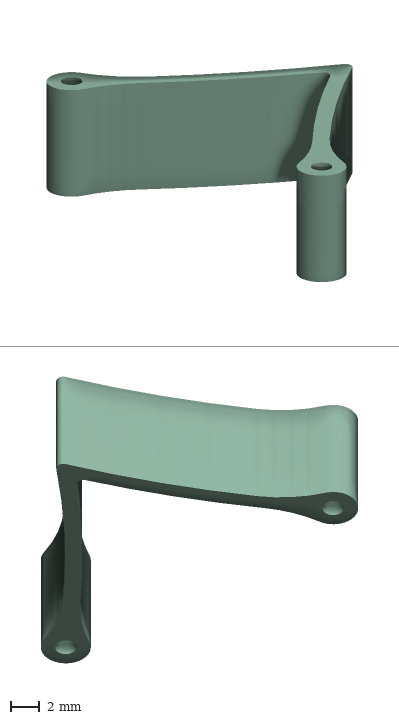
import cadquery as cq
import math

HEIGHT = 8.0
OVERALL_WIDTH = 27.54
OVERALL_DEPTH = 17.45
BOSS_RADIUS = 1.75
HOLE_DIAMETER = 1.5
ARM_THICKNESS = 1.2
ARM_OUTER_RADIUS = 80.0
ARM_CENTRE_X = -68.5
BLEND_RADIUS = 10.0
TIP_RADIUS = 0.5
INNER_CORNER_RADIUS = 0.5

ARM_INNER_RADIUS = ARM_OUTER_RADIUS + ARM_THICKNESS
HOLE_X = OVERALL_WIDTH / 2 - BOSS_RADIUS
TIP_Y = OVERALL_DEPTH - BOSS_RADIUS
BOSS_CENTRE = (-HOLE_X, 0.0)

TIP_CENTRE = (0.0, TIP_Y - TIP_RADIUS)
ARM_CENTRE_Y = TIP_CENTRE[1] + math.sqrt((ARM_OUTER_RADIUS + TIP_RADIUS) ** 2 - ARM_CENTRE_X**2)
ARM_CENTRE = (ARM_CENTRE_X, ARM_CENTRE_Y)

CORNER_DROP = math.sqrt((ARM_INNER_RADIUS + INNER_CORNER_RADIUS) ** 2 - ARM_CENTRE_X**2)
CORNER_CENTRE = (0.0, ARM_CENTRE_Y - CORNER_DROP)


def toward(start, target, distance):
    """Point at a signed distance from start along the line to target."""
    length = math.dist(start, target)
    return tuple(s + (t - s) * distance / length for s, t in zip(start, target))


def left_crossing(centre_a, radius_a, centre_b, radius_b):
    """Crossing of two circles that lies to the left of the line from centre_a to centre_b."""
    length = math.dist(centre_a, centre_b)
    along = (radius_a**2 - radius_b**2 + length**2) / (2 * length)
    aside = math.sqrt(radius_a**2 - along**2)
    ux = (centre_b[0] - centre_a[0]) / length
    uy = (centre_b[1] - centre_a[1]) / length
    return (centre_a[0] + along * ux - aside * uy, centre_a[1] + along * uy + aside * ux)


def arc_middle(centre, radius, start, end, long_way=False):
    """Middle point of the arc from start to end, on the short or the long way round the circle."""
    chord_middle = ((start[0] + end[0]) / 2, (start[1] + end[1]) / 2)
    return toward(centre, chord_middle, -radius if long_way else radius)


def half_link():
    """Left half of the link: tip, curved arm, blends and pivot boss, closed on the mirror plane."""
    boss_to_blend = BOSS_RADIUS + BLEND_RADIUS
    outer_blend = left_crossing(ARM_CENTRE, ARM_OUTER_RADIUS - BLEND_RADIUS, BOSS_CENTRE, boss_to_blend)
    inner_blend = left_crossing(ARM_CENTRE, ARM_INNER_RADIUS + BLEND_RADIUS, BOSS_CENTRE, boss_to_blend)

    tip_top = (0.0, TIP_Y)
    tip_end = toward(TIP_CENTRE, ARM_CENTRE, TIP_RADIUS)
    outer_arm_end = toward(ARM_CENTRE, outer_blend, ARM_OUTER_RADIUS)
    outer_boss = toward(BOSS_CENTRE, outer_blend, BOSS_RADIUS)
    inner_boss = toward(BOSS_CENTRE, inner_blend, BOSS_RADIUS)
    inner_arm_end = toward(ARM_CENTRE, inner_blend, ARM_INNER_RADIUS)
    corner_start = toward(CORNER_CENTRE, ARM_CENTRE, INNER_CORNER_RADIUS)
    corner_top = (0.0, CORNER_CENTRE[1] + INNER_CORNER_RADIUS)

    def arc(profile, centre, radius, start, end, long_way=False):
        return profile.threePointArc(arc_middle(centre, radius, start, end, long_way), end)

    profile = cq.Workplane("XY").moveTo(*tip_top)
    profile = arc(profile, TIP_CENTRE, TIP_RADIUS, tip_top, tip_end)
    profile = arc(profile, ARM_CENTRE, ARM_OUTER_RADIUS, tip_end, outer_arm_end)
    profile = arc(profile, outer_blend, BLEND_RADIUS, outer_arm_end, outer_boss)
    profile = arc(profile, BOSS_CENTRE, BOSS_RADIUS, outer_boss, inner_boss, long_way=True)
    profile = arc(profile, inner_blend, BLEND_RADIUS, inner_boss, inner_arm_end)
    profile = arc(profile, ARM_CENTRE, ARM_INNER_RADIUS, inner_arm_end, corner_start)
    profile = arc(profile, CORNER_CENTRE, INNER_CORNER_RADIUS, corner_start, corner_top)
    return profile.close().extrude(HEIGHT)


def pivot_hole():
    """Through hole at the centre of the left boss."""
    return cq.Workplane("XY").center(*BOSS_CENTRE).circle(HOLE_DIAMETER / 2).extrude(HEIGHT)


left_half = half_link().cut(pivot_hole())
result = left_half.union(left_half.mirror("YZ")).clean()